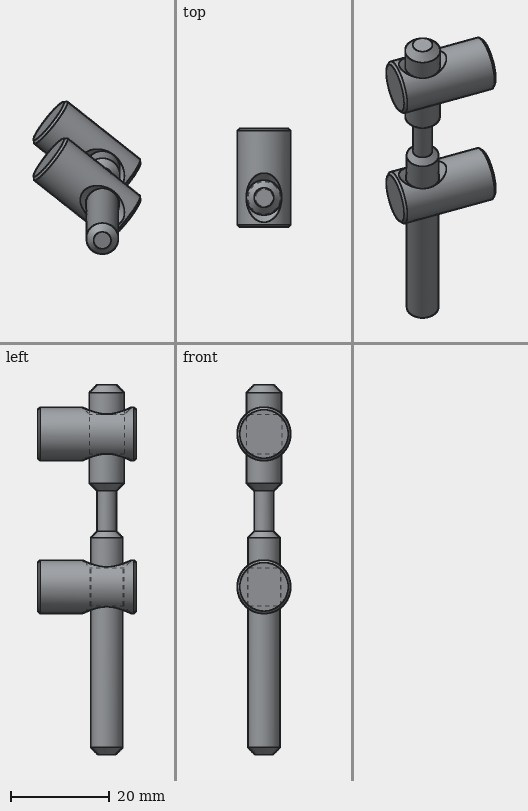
import cadquery as cq

total_height = 75.0
lower_stud_top = 45.3
upper_stud_bottom = 53.5

lower_stud_diameter = 6.5
upper_stud_diameter = 7.1
link_pin_diameter = 4.0
lower_stud_bottom_chamfer = 1.5

dowel_diameter = 10.9
dowel_length = 20.0
dowel_front_to_stud = 6.0
dowel_end_chamfer = 0.5
lower_dowel_height = 34.05
upper_dowel_height = 65.0
lower_bore_diameter = 6.8
upper_bore_diameter = upper_stud_diameter
bore_mouth_diameter = 10.0

dowel_radius = dowel_diameter / 2


def make_stud(diameter, bottom, top, bottom_chamfer, top_chamfer):
    """Vertical rod with a chamfer at each end."""
    return (
        cq.Workplane("XY", origin=(0, 0, bottom))
        .circle(diameter / 2)
        .extrude(top - bottom)
        .faces("<Z")
        .chamfer(bottom_chamfer)
        .faces(">Z")
        .chamfer(top_chamfer)
    )


def make_bore_cutter(bore_diameter):
    """Through bore with a 45 degree countersink at both ends, centred on the origin."""
    bore_radius = bore_diameter / 2
    mouth_radius = bore_mouth_diameter / 2
    countersink_bottom = dowel_radius - (mouth_radius - bore_radius)
    profile = [
        (0, -dowel_radius),
        (mouth_radius, -dowel_radius),
        (bore_radius, -countersink_bottom),
        (bore_radius, countersink_bottom),
        (mouth_radius, dowel_radius),
        (0, dowel_radius),
    ]
    return cq.Workplane("XZ").polyline(profile).close().revolve(360, (0, 0), (0, 1))


def make_dowel(height, bore_diameter):
    """Chamfered cross dowel with its countersunk bore on the stud axis."""
    dowel = (
        cq.Workplane("XZ", origin=(0, -dowel_front_to_stud, 0))
        .circle(dowel_radius)
        .extrude(-dowel_length)
        .faces("<Y or >Y")
        .chamfer(dowel_end_chamfer)
    )
    return dowel.cut(make_bore_cutter(bore_diameter)).translate((0, 0, height))


lower_stud_top_chamfer = (lower_stud_diameter - link_pin_diameter) / 2
upper_stud_chamfer = (upper_stud_diameter - link_pin_diameter) / 2

lower_stud = make_stud(
    lower_stud_diameter, 0, lower_stud_top, lower_stud_bottom_chamfer, lower_stud_top_chamfer
)
upper_stud = make_stud(
    upper_stud_diameter, upper_stud_bottom, total_height, upper_stud_chamfer, upper_stud_chamfer
)

link_pin = (
    cq.Workplane("XY", origin=(0, 0, lower_stud_top))
    .circle(link_pin_diameter / 2)
    .extrude(upper_stud_bottom - lower_stud_top)
)

dowel_placements = [
    (lower_dowel_height, lower_bore_diameter),
    (upper_dowel_height, upper_bore_diameter),
]
dowels = [make_dowel(height, bore).val() for height, bore in dowel_placements]

result = cq.Compound.makeCompound([lower_stud.val(), link_pin.val(), upper_stud.val(), *dowels])